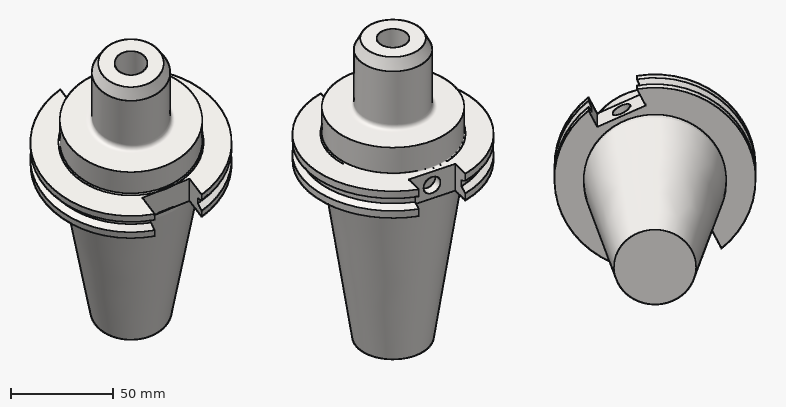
import cadquery as cq

total_height = 177.8
taper_height = 101.5
flange_bottom = 104.9
flange_thickness = 16.0
flange_top = flange_bottom + flange_thickness
flange_middle = flange_bottom + flange_thickness / 2
collar_top = 136.9

taper_end_radius = 20.1
gauge_radius = 34.8
collar_radius = 34.8
flange_radius = 49.3
shank_radius = 19.2
tip_radius = 16.0

tip_chamfer_height = 6.4
shank_fillet = 2.8
collar_foot_fillet = 0.7

groove_floor_radius = 45.7
groove_floor_width = 3.5
groove_mouth_width = 7.5

slot_width = 26.3
left_slot_floor = 37.7
right_slot_floor = 35.2

bore_diameter = 16.0
bore_depth = 40.9
side_hole_diameter = 9.6
side_hole_depth = 5.0


def turned_body():
    """Revolve the taper, flange, collar and shank as one solid."""
    floor_half = groove_floor_width / 2
    mouth_half = groove_mouth_width / 2
    arc_inset = 1 - 0.5 ** 0.5
    foot_mid = collar_foot_fillet * arc_inset
    shank_mid = shank_fillet * arc_inset
    profile = (
        cq.Workplane("XZ")
        .moveTo(0, 0)
        .lineTo(taper_end_radius, 0)
        .lineTo(gauge_radius, taper_height)
        .lineTo(gauge_radius, flange_bottom)
        .lineTo(flange_radius, flange_bottom)
        .lineTo(flange_radius, flange_middle - mouth_half)
        .lineTo(groove_floor_radius, flange_middle - floor_half)
        .lineTo(groove_floor_radius, flange_middle + floor_half)
        .lineTo(flange_radius, flange_middle + mouth_half)
        .lineTo(flange_radius, flange_top)
        .lineTo(collar_radius + collar_foot_fillet, flange_top)
        .threePointArc(
            (collar_radius + foot_mid, flange_top + foot_mid),
            (collar_radius, flange_top + collar_foot_fillet),
        )
        .lineTo(collar_radius, collar_top)
        .lineTo(shank_radius + shank_fillet, collar_top)
        .threePointArc(
            (shank_radius + shank_mid, collar_top + shank_mid),
            (shank_radius, collar_top + shank_fillet),
        )
        .lineTo(shank_radius, total_height - tip_chamfer_height)
        .lineTo(tip_radius, total_height)
        .lineTo(0, total_height)
        .close()
    )
    return profile.revolve(360, (0, 0, 0), (0, 1, 0))


def drive_slot(side, floor_distance):
    """Cutter for a slot through the flange rim; side is -1 for -X, +1 for +X."""
    cutter_length = flange_radius
    centre_x = side * (floor_distance + cutter_length / 2)
    return (
        cq.Workplane("XY")
        .box(cutter_length, slot_width, flange_thickness)
        .translate((centre_x, 0, flange_middle))
    )


def tip_bore():
    """Cutter for the blind bore in the end of the shank."""
    return (
        cq.Workplane("XY", origin=(0, 0, total_height))
        .circle(bore_diameter / 2)
        .extrude(-bore_depth)
    )


def side_hole():
    """Cutter for the blind hole in the floor of the -X slot."""
    return (
        cq.Workplane("YZ", origin=(-left_slot_floor, 0, flange_middle))
        .circle(side_hole_diameter / 2)
        .extrude(side_hole_depth)
    )


result = (
    turned_body()
    .cut(drive_slot(-1, left_slot_floor))
    .cut(drive_slot(1, right_slot_floor))
    .cut(tip_bore())
    .cut(side_hole())
)